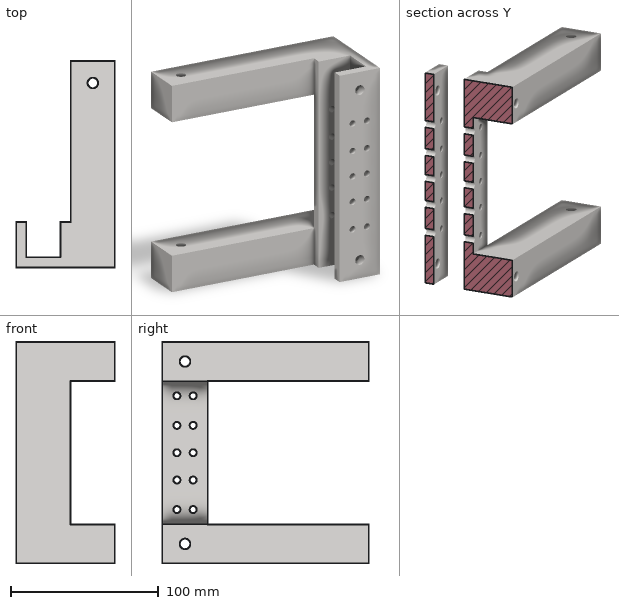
import cadquery as cq

WIDTH = 67.0
DEPTH = 140.0
HEIGHT = 150.0

CHANNEL_DEPTH = 31.0
CHANNEL_FLOOR = 7.0
WALL = 7.0
SLOT_WIDTH = 23.0
CHANNEL_WIDTH = SLOT_WIDTH + 2 * WALL

ARM_WIDTH = WIDTH - CHANNEL_WIDTH
ARM_GAP = 97.0
ARM_HEIGHT = (HEIGHT - ARM_GAP) / 2

MOUNT_DIAMETER = 7.0
ARM_CENTER_X = CHANNEL_WIDTH + ARM_WIDTH / 2
ARM_CENTER_OFFSET_Z = (HEIGHT - ARM_HEIGHT) / 2
ARM_HOLE_Y = DEPTH - ARM_WIDTH / 2

PIN_DIAMETER = 4.6
PIN_COLUMN_SPACING = 11.0
PIN_INNER_ROW = 18.5
PIN_OUTER_ROW = 38.5
PIN_ROWS = [-PIN_OUTER_ROW, -PIN_INNER_ROW, 0.0, PIN_INNER_ROW, PIN_OUTER_ROW]


def block(x_start, x_end, y_start, y_end, z_start, z_end):
    """Box between the given limits."""
    size = (x_end - x_start, y_end - y_start, z_end - z_start)
    return cq.Workplane("XY").box(*size, centered=False).translate((x_start, y_start, z_start))


def channel():
    """Upright U-shaped channel, open toward +Y."""
    body = block(0, CHANNEL_WIDTH, 0, CHANNEL_DEPTH, 0, HEIGHT)
    slot = block(WALL, WALL + SLOT_WIDTH, CHANNEL_FLOOR, CHANNEL_DEPTH, 0, HEIGHT)
    return body.cut(slot)


def arm(z_start):
    """Rectangular arm beside the channel, with its underside at z_start."""
    return block(CHANNEL_WIDTH, WIDTH, 0, DEPTH, z_start, z_start + ARM_HEIGHT)


def holes_along_x(points, diameter):
    """Cylinders across the full width, at (y, z) points measured from mid-height."""
    plane = cq.Workplane("YZ", origin=(0, 0, HEIGHT / 2))
    return plane.pushPoints(points).circle(diameter / 2).extrude(WIDTH)


def arm_end_holes():
    """Vertical cylinder through the free ends of both arms."""
    plane = cq.Workplane("XY")
    return plane.center(ARM_CENTER_X, ARM_HOLE_Y).circle(MOUNT_DIAMETER / 2).extrude(HEIGHT)


column_center = CHANNEL_DEPTH / 2
mount_points = [(column_center, side * ARM_CENTER_OFFSET_Z) for side in (-1, 1)]
pin_points = [
    (column_center + side * PIN_COLUMN_SPACING / 2, row)
    for side in (-1, 1)
    for row in PIN_ROWS
]

result = channel().union(arm(0)).union(arm(HEIGHT - ARM_HEIGHT))
result = result.cut(holes_along_x(mount_points, MOUNT_DIAMETER))
result = result.cut(holes_along_x(pin_points, PIN_DIAMETER))
result = result.cut(arm_end_holes())